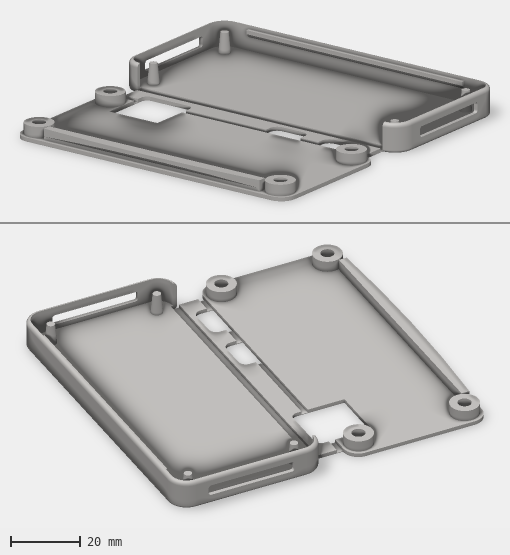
import cadquery as cq

case_width = 99.9
case_height = 8.9
case_length = 101.6
wall = 1.2

back_y = case_length / 2
front_y = -case_length / 2

tray_depth = 48.0
tray_corner_radius = 6.0
tray_base_round = 0.8
rim_round = wall
tray_front_y = back_y - tray_depth
tray_middle_y = back_y - tray_depth / 2
inner_width = case_width - 2 * wall
inner_depth = tray_depth - 2 * wall
inner_corner_radius = tray_corner_radius - wall
floor_setback = 1.9
floor_front_y = tray_front_y + floor_setback
front_opening_width = 2 * (case_width / 2 - tray_corner_radius)

slot_length = 27.7
slot_height = 3.3
slot_corner_radius = 0.8

catch_length = 77.4
rib_reach = 1.2
rib_top_z = 7.8
rib_tip_height = 1.2

post_spacing_x = 86.6
post_spacing_y = 34.4
pin_base_radius = 1.8
pin_tip_radius = 1.2
pin_top_z = 7.6
boss_radius = 4.5
boss_hole_radius = 2.0
boss_top_z = 4.7

hinge_width = 87.5
film_thickness = 0.2
flap_length = 6.2
tray_film_length = 2.5
lid_film_length = 2.0
flap_back_y = floor_front_y - tray_film_length
flap_front_y = flap_back_y - flap_length
hinge_front_y = flap_front_y - lid_film_length

lid_width = inner_width
lid_back_y = hinge_front_y
lid_middle_y = (lid_back_y + front_y) / 2
lid_corner_radius = inner_corner_radius

latch_width = 2.5
latch_bulge = 1.3
latch_front_y = front_y + latch_bulge
latch_back_y = latch_front_y + latch_width
latch_slope_z = 2.2

large_port_left_x = -38.7
large_port_right_x = -21.4
large_port_back_y = -0.3
large_port_front_y = -17.9
large_port_round = 2.0
small_port_width = 12.3
small_port_spacing = 18.7
first_small_port_x = 13.4
small_port_middles_x = (first_small_port_x, first_small_port_x + small_port_spacing)
small_port_back_y = 0.5
small_port_round = 2.4


def block(x_size, y_min, y_max, z_min, z_max):
    """Box centred on X = 0 between the given Y and Z limits."""
    return (
        cq.Workplane("XY")
        .box(x_size, y_max - y_min, z_max - z_min, centered=(True, False, False))
        .translate((0, y_min, z_min))
    )


def rounded_plate(width, depth, height, corner_radius, middle_y):
    """Plate standing on Z = 0 with rounded vertical corners."""
    return (
        cq.Workplane("XY")
        .box(width, depth, height, centered=(True, True, False))
        .edges("|Z")
        .fillet(corner_radius)
        .translate((0, middle_y, 0))
    )


def post_centers(middle_y):
    """Centres of the four posts of a rectangle around (0, middle_y)."""
    return [
        (side_x * post_spacing_x / 2, middle_y + side_y * post_spacing_y / 2)
        for side_x in (-1, 1)
        for side_y in (-1, 1)
    ]


def make_catch_rib():
    """Rib with a flat top, an upright tip and an underside sloping back to the wall at 45 degrees."""
    inner_wall_y = back_y - wall
    tip_y = inner_wall_y - rib_reach
    tip_bottom_z = rib_top_z - rib_tip_height
    return (
        cq.Workplane("YZ")
        .polyline([
            (inner_wall_y, rib_top_z),
            (tip_y, rib_top_z),
            (tip_y, tip_bottom_z),
            (inner_wall_y, tip_bottom_z - rib_reach),
        ])
        .close()
        .extrude(catch_length / 2, both=True)
    )


def make_tray():
    tray = rounded_plate(case_width, tray_depth, case_height, tray_corner_radius, tray_middle_y)
    tray = tray.faces(">Z").edges().fillet(rim_round)
    tray = tray.faces("<Z").edges().fillet(tray_base_round)
    cavity = rounded_plate(inner_width, inner_depth, case_height, inner_corner_radius, tray_middle_y)
    tray = tray.cut(cavity.translate((0, 0, wall)))

    front_opening = block(front_opening_width, tray_front_y - wall, floor_front_y, 0, case_height)
    end_slots = (
        cq.Workplane("XY")
        .box(2 * case_width, slot_length, slot_height)
        .edges("|X")
        .fillet(slot_corner_radius)
        .translate((0, tray_middle_y, case_height / 2))
    )
    tray = tray.cut(front_opening).cut(end_slots)

    tray = tray.union(make_catch_rib())
    for x, y in post_centers(tray_middle_y):
        pin = cq.Solid.makeCone(
            pin_base_radius, pin_tip_radius, pin_top_z - wall, pnt=cq.Vector(x, y, wall)
        )
        tray = tray.union(cq.Workplane(pin))
    return tray


def port_cutter(left_x, right_x, port_back_y, port_front_y, back_round):
    """Upright cutter for one port, rounded at its two back corners."""
    return (
        cq.Workplane("XY")
        .box(right_x - left_x, port_back_y - port_front_y, 2 * wall, centered=(True, False, True))
        .edges("|Z and >Y")
        .fillet(back_round)
        .translate(((left_x + right_x) / 2, port_front_y, wall / 2))
    )


def large_port_cutter():
    return port_cutter(
        large_port_left_x, large_port_right_x, large_port_back_y, large_port_front_y, large_port_round
    )


def make_hinge():
    """Stiff flap between two thin bending films, open where the ports are."""
    film = block(hinge_width, hinge_front_y, floor_front_y, 0, film_thickness)
    flap = block(hinge_width, flap_front_y, flap_back_y, 0, wall)
    hinge = film.union(flap).cut(large_port_cutter())
    for middle_x in small_port_middles_x:
        left_x = middle_x - small_port_width / 2
        right_x = middle_x + small_port_width / 2
        hinge = hinge.cut(
            port_cutter(left_x, right_x, small_port_back_y, hinge_front_y, small_port_round)
        )
    return hinge


def make_lid():
    lid_depth = lid_back_y - front_y
    lid = rounded_plate(lid_width, lid_depth, wall, lid_corner_radius, lid_middle_y)
    return lid.cut(large_port_cutter())


def make_boss(x, y):
    """Ring standing on the lid."""
    return (
        cq.Workplane("XY", origin=(x, y, wall))
        .circle(boss_radius)
        .circle(boss_hole_radius)
        .extrude(boss_top_z - wall)
    )


def make_latch():
    """Bar whose front bulges in a shallow arc, undercut by a 45 degree slope."""
    half_length = catch_length / 2
    bar = (
        cq.Workplane("XY", origin=(0, 0, wall))
        .moveTo(-half_length, latch_back_y)
        .lineTo(-half_length, latch_front_y)
        .threePointArc((0, latch_front_y - latch_bulge), (half_length, latch_front_y))
        .lineTo(half_length, latch_back_y)
        .close()
        .extrude(boss_top_z - wall)
    )
    undercut_reach = 2 * latch_bulge
    undercut = (
        cq.Workplane("YZ")
        .polyline([
            (latch_front_y, 0),
            (latch_front_y, latch_slope_z),
            (latch_front_y - undercut_reach, latch_slope_z + undercut_reach),
            (latch_front_y - undercut_reach, 0),
        ])
        .close()
        .extrude(case_width, both=True)
    )
    return bar.cut(undercut)


tray = make_tray()
hinge = make_hinge()
lid = make_lid()
latch = make_latch()
bosses = [make_boss(x, y) for x, y in post_centers(lid_middle_y)]

result = cq.Compound.makeCompound(
    [tray.val(), hinge.val(), lid.val(), latch.val(), *[boss.val() for boss in bosses]]
)